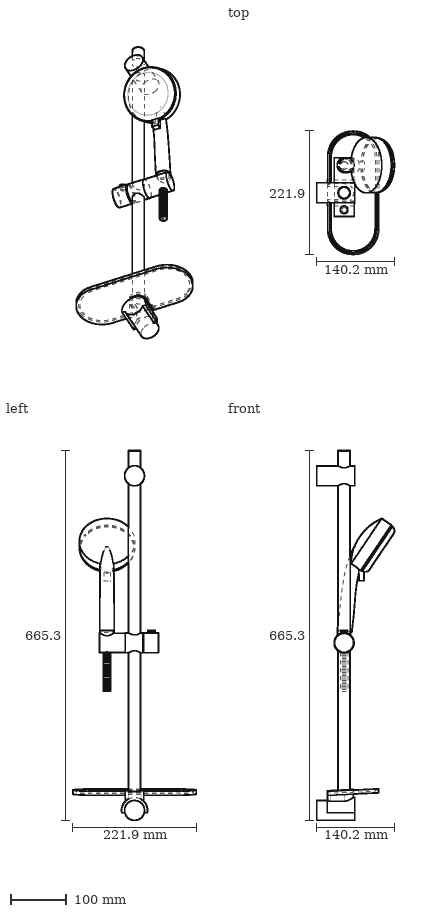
import cadquery as cq
import math

BAR_DIA = 22.0
BAR_CAP_DIA = 21.9
BAR_CAP_TIP_DIA = 19.9
BAR_CAP_HEIGHT = 2.0
OVERALL_HEIGHT = 665.26

MOUNT_DIA = 36.0
MOUNT_BACK_X = -49.5
MOUNT_FRONT_X = 19.5
UPPER_MOUNT_Z = 601.0
BAR_TOP_Z = OVERALL_HEIGHT - MOUNT_DIA / 2

SLIDER_Z = 301.0
KNOB_SECTION_DIA = 36.0
HOLDER_SECTION_DIA = 35.2
SLIDER_KNOB_END_Y = -43.5
SLIDER_HOLDER_END_Y = 63.3
HOLDER_SECTION_START_Y = 17.0
SLIDER_GROOVE_Y = -16.5
SLIDER_GROOVE_WIDTH = 2.0
SLIDER_GROOVE_DEPTH = 1.0
SLIDER_END_CHAMFER = 1.0
KNOB_Y = -30.5
KNOB_DIA = 14.0
KNOB_NECK_DIA = 9.0
KNOB_HEAD_HEIGHT = 2.5
KNOB_TOP_ABOVE_AXIS = 23.0

SHOWER_Y = 49.5
NECK_DIA = 24.4
HANDLE_BOTTOM_Z = 322.0
NECK_OVERLAP = 1.0
HANDLE_STATIONS = (
    (0.8, HANDLE_BOTTOM_Z, 13.4),
    (5.0, 360.0, 13.3),
    (7.6, 388.0, 12.9),
    (11.2, 414.0, 12.7),
    (17.5, 440.0, 12.6),
    (29.0, 467.5, 12.3),
)
HEAD_CENTER_X = 39.8
HEAD_CENTER_Z = 483.3
HEAD_TILT = 34.0
HEAD_RADIUS = 49.8
HEAD_DOME_HEIGHT = 14.5
HEAD_BAND_WIDTH = 21.0
HEAD_FACE_DEPTH = 33.3
HEAD_FACE_RADIUS = 38.6
HEAD_STEP = 0.8
HEAD_LIP_WIDTH = 3.0
SELECTOR_X = 31.3
SELECTOR_LENGTH = 9.2
SELECTOR_WIDTH = 12.0
SELECTOR_BOTTOM_Z = 412.5
SELECTOR_TOP_Z = 450.0

HOSE_DIA = 14.0
HOSE_RING_PITCH = 2.8
HOSE_RING_DEPTH = 0.7
HOSE_RING_COUNT = 26
HOSE_BOTTOM_Z = 214.5

TRAY_LENGTH = 221.88
TRAY_WIDTH = 91.6
TRAY_CENTER_X = 16.3
TRAY_CENTER_Z = 33.0
TRAY_HEIGHT = 7.5
TRAY_RIM = 3.5
TRAY_RIM_SLOPE = 3.0
TRAY_FLOOR = 4.0
TRAY_TILT = 2.8

BRACKET_BACK_X = -30.0
SADDLE_RADIUS = 23.5
SADDLE_BOTTOM_Z = -4.5
COLLAR_DIA = 33.4
COLLAR_SLOT_WIDTH = 22.6
COLLAR_CORNER_RADIUS = (COLLAR_DIA - COLLAR_SLOT_WIDTH) / 2
COLLAR_TOP_Z = 37.0
COLLAR_FLOOR_Z = 35.4
COLLAR_BLANK_TOP_Z = 45.0
TRIM_BLOCK_SIZE = 120.0


def x_cylinder(radius, x_start, x_end, z):
    return cq.Workplane("YZ", origin=(x_start, 0, z)).circle(radius).extrude(x_end - x_start)


def y_cylinder(radius, y_start, y_end, z):
    return cq.Workplane("XZ", origin=(0, y_start, z)).circle(radius).extrude(y_start - y_end)


def z_cylinder(radius, x, y, z_start, z_end):
    return cq.Workplane("XY", origin=(x, y, z_start)).circle(radius).extrude(z_end - z_start)


def make_bar():
    cap_base_z = BAR_TOP_Z - BAR_CAP_HEIGHT
    cap_chamfer = (BAR_CAP_DIA - BAR_CAP_TIP_DIA) / 2
    cap = z_cylinder(BAR_CAP_DIA / 2, 0, 0, cap_base_z, BAR_TOP_Z).faces(">Z").chamfer(cap_chamfer)
    return z_cylinder(BAR_DIA / 2, 0, 0, 0, cap_base_z).union(cap)


def make_mount(z):
    return x_cylinder(MOUNT_DIA / 2, MOUNT_BACK_X, MOUNT_FRONT_X, z)


def make_slider():
    knob_radius = KNOB_SECTION_DIA / 2
    groove_end = SLIDER_GROOVE_Y + SLIDER_GROOVE_WIDTH
    end_part = y_cylinder(knob_radius, SLIDER_KNOB_END_Y, SLIDER_GROOVE_Y, SLIDER_Z)
    end_part = end_part.faces("<Y").chamfer(SLIDER_END_CHAMFER)
    groove = y_cylinder(knob_radius - SLIDER_GROOVE_DEPTH, SLIDER_GROOVE_Y, groove_end, SLIDER_Z)
    middle = y_cylinder(knob_radius, groove_end, HOLDER_SECTION_START_Y, SLIDER_Z)
    holder = y_cylinder(HOLDER_SECTION_DIA / 2, HOLDER_SECTION_START_Y, SLIDER_HOLDER_END_Y, SLIDER_Z)
    return end_part.union(groove).union(middle).union(holder)


def make_clamp_knob():
    """Flat button on a stem that flares from the slider up to the button."""
    top_z = SLIDER_Z + KNOB_TOP_ABOVE_AXIS
    head_base_z = top_z - KNOB_HEAD_HEIGHT
    profile = [
        (0, SLIDER_Z),
        (KNOB_NECK_DIA / 2, SLIDER_Z),
        (KNOB_NECK_DIA / 2, SLIDER_Z + KNOB_SECTION_DIA / 2),
        (KNOB_DIA / 2, head_base_z),
        (KNOB_DIA / 2, top_z),
        (0, top_z),
    ]
    knob = cq.Workplane("XZ").polyline(profile).close().revolve(360, (0, 0), (0, 1))
    return knob.translate((0, KNOB_Y, 0))


def make_handle():
    """Curved handle: round sections square to a bent centre line, on a short neck in the slider."""
    path = cq.Workplane("XZ").spline([(x, z) for x, z, _ in HANDLE_STATIONS]).val()
    path = path.translate(cq.Vector(0, SHOWER_Y, 0))
    sections = []
    for x, z, radius in HANDLE_STATIONS:
        center = cq.Vector(x, SHOWER_Y, z)
        direction = path.tangentAt(path.paramAt(center), mode="parameter")
        sections.append(cq.Wire.makeCircle(radius, center, direction))
    handle = cq.Workplane(cq.Solid.makeLoft(sections))
    neck = z_cylinder(NECK_DIA / 2, 0, SHOWER_Y, SLIDER_Z, HANDLE_BOTTOM_Z + NECK_OVERLAP)
    return handle.union(neck)


def make_head():
    """Shower head: a disc with a domed back, turned about its axis and tilted to face down."""
    dome_radius = (HEAD_RADIUS**2 + HEAD_DOME_HEIGHT**2) / (2 * HEAD_DOME_HEIGHT)
    half_angle = math.asin(HEAD_RADIUS / dome_radius) / 2
    dome_mid = (
        dome_radius * math.sin(half_angle),
        dome_radius * (1 - math.cos(half_angle)) - HEAD_DOME_HEIGHT,
    )
    lip_radius = HEAD_RADIUS - HEAD_STEP
    lip_end = HEAD_BAND_WIDTH + HEAD_LIP_WIDTH
    edge_drop = lip_radius - HEAD_STEP - HEAD_FACE_RADIUS
    edge_rise = HEAD_FACE_DEPTH - lip_end
    edge_mid = (
        HEAD_FACE_RADIUS + edge_drop * math.sqrt(0.5),
        lip_end + edge_rise * math.sqrt(0.5),
    )
    profile = (
        cq.Workplane("XY")
        .moveTo(0, -HEAD_DOME_HEIGHT)
        .threePointArc(dome_mid, (HEAD_RADIUS, 0))
        .lineTo(HEAD_RADIUS, HEAD_BAND_WIDTH)
        .lineTo(lip_radius, HEAD_BAND_WIDTH)
        .lineTo(lip_radius, lip_end)
        .lineTo(lip_radius - HEAD_STEP, lip_end)
        .threePointArc(edge_mid, (HEAD_FACE_RADIUS, HEAD_FACE_DEPTH))
        .lineTo(0, HEAD_FACE_DEPTH)
        .close()
    )
    head = profile.revolve(360, (0, 0), (0, 1))
    head = head.rotate((0, 0, 0), (0, 0, 1), -90 - HEAD_TILT)
    head = head.rotate((0, 0, 0), (1, 0, 0), 90)
    return head.translate((HEAD_CENTER_X, SHOWER_Y, HEAD_CENTER_Z))


def make_selector():
    height = SELECTOR_TOP_Z - SELECTOR_BOTTOM_Z
    selector = cq.Workplane("XY").box(SELECTOR_LENGTH, SELECTOR_WIDTH, height)
    return selector.translate((SELECTOR_X, SHOWER_Y, SELECTOR_BOTTOM_Z + height / 2))


def make_hose():
    groove_radius = HOSE_DIA / 2 - HOSE_RING_DEPTH
    profile = cq.Workplane("XZ").moveTo(0, HOSE_BOTTOM_Z).lineTo(groove_radius, HOSE_BOTTOM_Z)
    for ring in range(HOSE_RING_COUNT):
        ring_z = HOSE_BOTTOM_Z + ring * HOSE_RING_PITCH
        crest = (HOSE_DIA / 2, ring_z + HOSE_RING_PITCH / 2)
        profile = profile.threePointArc(crest, (groove_radius, ring_z + HOSE_RING_PITCH))
    profile = profile.lineTo(groove_radius, SLIDER_Z).lineTo(0, SLIDER_Z).close()
    return profile.revolve(360, (0, 0), (0, 1)).translate((0, SHOWER_Y, 0))


def make_tray():
    """Obround dish with a sloping inner rim, tilted about Y."""
    tray = cq.Workplane("XY").slot2D(TRAY_LENGTH, TRAY_WIDTH, 90).extrude(TRAY_HEIGHT)
    floor_inset = 2 * (TRAY_RIM + TRAY_RIM_SLOPE)
    slope_angle = math.degrees(math.atan(TRAY_RIM_SLOPE / (TRAY_HEIGHT - TRAY_FLOOR)))
    recess = (
        cq.Workplane("XY", origin=(0, 0, TRAY_FLOOR))
        .slot2D(TRAY_LENGTH - floor_inset, TRAY_WIDTH - floor_inset, 90)
        .extrude(TRAY_HEIGHT - TRAY_FLOOR, taper=-slope_angle)
    )
    tray = tray.cut(recess).translate((0, 0, -TRAY_HEIGHT / 2))
    tray = tray.rotate((0, 0, 0), (0, 1, 0), -TRAY_TILT)
    return tray.translate((TRAY_CENTER_X, 0, TRAY_CENTER_Z))


def collar_prism(width, z_start, z_end):
    """Prism running from the bracket back to a round end about the bar axis."""
    height = z_end - z_start
    block = cq.Workplane("XY", origin=(BRACKET_BACK_X / 2, 0, z_start))
    block = block.rect(-BRACKET_BACK_X, width).extrude(height)
    return block.union(z_cylinder(width / 2, 0, 0, z_start, z_end))


def tilt_like_tray(prism, pivot_z):
    """Tilt a prism like the tray, about the Y direction at height pivot_z on the bar axis."""
    return prism.rotate((0, 0, pivot_z), (0, 1, pivot_z), -TRAY_TILT)


def make_bracket():
    saddle = x_cylinder(SADDLE_RADIUS, BRACKET_BACK_X, MOUNT_FRONT_X, 0)
    below_saddle = cq.Workplane("XY", origin=(0, 0, SADDLE_BOTTOM_Z))
    below_saddle = below_saddle.rect(TRIM_BLOCK_SIZE, TRIM_BLOCK_SIZE).extrude(-TRIM_BLOCK_SIZE)
    collar = collar_prism(COLLAR_DIA, 0, COLLAR_BLANK_TOP_Z)
    collar = collar.edges("|Z and <X").fillet(COLLAR_CORNER_RADIUS)
    above_collar = cq.Workplane("XY", origin=(0, 0, COLLAR_TOP_Z))
    above_collar = above_collar.rect(TRIM_BLOCK_SIZE, TRIM_BLOCK_SIZE).extrude(TRIM_BLOCK_SIZE)
    collar = collar.cut(tilt_like_tray(above_collar, COLLAR_TOP_Z))
    return saddle.cut(below_saddle).union(collar)


def make_collar_slot():
    slot = collar_prism(COLLAR_SLOT_WIDTH, COLLAR_FLOOR_Z, COLLAR_BLANK_TOP_Z)
    return tilt_like_tray(slot, COLLAR_FLOOR_Z)


def make_tray_notch():
    """Clearance in the back edge of the tray beside the rounded collar corners."""
    notch = cq.Workplane("XY").rect(2 * COLLAR_CORNER_RADIUS, COLLAR_DIA).extrude(COLLAR_BLANK_TOP_Z)
    return notch.translate((BRACKET_BACK_X, 0, 0))


tray_unit = make_tray().cut(make_tray_notch()).union(make_bracket()).cut(make_collar_slot())

result = make_bar()
for part in (
    make_mount(0),
    make_mount(UPPER_MOUNT_Z),
    tray_unit,
    make_slider(),
    make_clamp_knob(),
    make_handle(),
    make_head(),
    make_selector(),
    make_hose(),
):
    result = result.union(part)